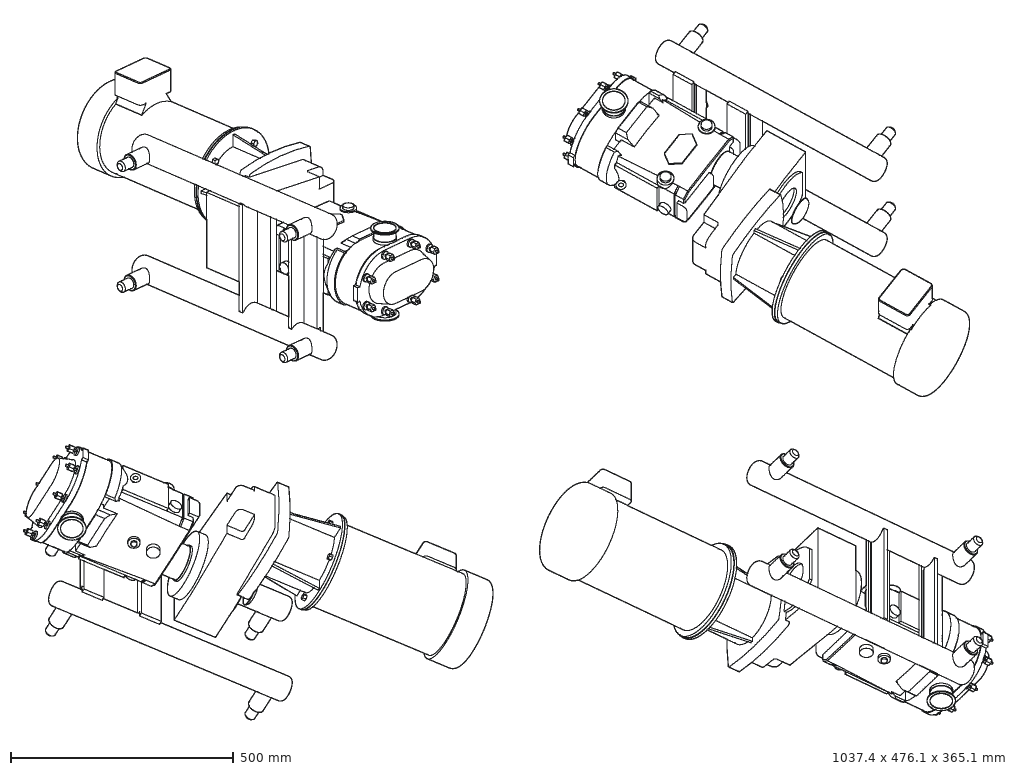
import cadquery as cq
import math

TOTAL_LENGTH = 1037.39
MOTOR_AXIS_Y = 146.5
PUMP_AXIS_Y = 41.9
LOBE_OFFSET = PUMP_AXIS_Y
FOOT_LEVEL_Y = -67.0

FAN_COVER_RADIUS = 108.5
FAN_COVER_LENGTH = 69.0
FAN_COVER_FILLET = 13.0
MOTOR_RADIUS = 199.54 / 2
MOTOR_FLANGE_RADIUS = 114.0
MOTOR_FLANGE_START = 378.0
MOTOR_END = 385.0
TERMINAL_BOX_START = 66.0
TERMINAL_BOX_LENGTH = 84.0
TERMINAL_BOX_WIDTH = 104.0
TERMINAL_BOX_BOTTOM = 113.0
TERMINAL_BOX_TOP = 170.0
TERMINAL_BOX_FILLET = 8.0
TERMINAL_NECK_TOP_WIDTH = 66.0
TERMINAL_NECK_BASE_WIDTH = 96.0
TERMINAL_NECK_BASE_Z = 88.0

ADAPTER_FLANGE_RADIUS = 116.08
ADAPTER_FLANGE_END = 391.5
ADAPTER_RADIUS = 77.0
GUSSET_TALL_RADIUS = 107.0
GUSSET_LOW_RADIUS = 87.5
GUSSET_THICKNESS = 6.0
ADAPTER_BOLT_CIRCLE_RADIUS = 89.5
ADAPTER_BOLT_DIAMETER = 14.28
ADAPTER_BOLT_LENGTH = 8.0
MOUNT_PLATE_START = 514.5
MOUNT_PLATE_END = 543.0
MOUNT_PLATE_TOP_CORNER = 91.0
MOUNT_PLATE_TOP_BULGE = 97.5
MOUNT_PLATE_BOTTOM_CORNER = 106.0
MOUNT_PLATE_BOTTOM_BULGE = 118.0
MOUNT_PLATE_CORNER_Z = 97.5
MOUNT_PLATE_BULGE_Z = 107.5
GEARBOX_START = 531.5
GEARBOX_END = 636.5
GEARBOX_HEIGHT = 190.5
GEARBOX_BOTTOM_Y = -88.0
GEARBOX_TOP_Y = 225.5
GEARBOX_TOP_HALF_HEIGHT = 71.0
GEARBOX_TOP_FILLET = 14.0
GEARBOX_EDGE_FILLET = 18.0
LIFT_POCKET_START = 595.0
LIFT_POCKET_BOTTOM_Y = 170.0
LIFT_POCKET_HALF_SPACING = 46.0
REAR_COVER_DIAMETER = 158.22
REAR_COVER_START = 525.0
REAR_COVER_FLAT_Y = -64.5
REAR_BORE_DIAMETER = 80.0
FRONT_BEARING_DIAMETER = 158.24
FRONT_BEARING_END = 658.5
COUPLING_DIAMETER = 82.55
COUPLING_END = 706.5
COUPLING_CHAMFER = 2.0
SHAFT_COLLAR_DIAMETER = 87.0
SHAFT_COLLAR_END = 663.0

CAP_START = 482.5
CAP_LENGTH = 8.5
CAP_FACE_RADIUS = 21.5
CAP_RADIUS = 65.0 / 2
CAP_RIM_LENGTH = 1.5

FOOT_PLATE_START = 695.0
FOOT_PLATE_END = 722.0
FOOT_PLATE_HALF_HEIGHT = 30.0
FOOT_PLATE_FILLET = 10.0
CASE_START = COUPLING_END
CASE_FLANGE_END = 731.0
CASE_END = 910.0
CASE_HALF_WIDTH = 101.0
CASE_ROOF_END_HALF_WIDTH = 92.0
CASE_FLANGE_HALF_WIDTH = 101.5
CASE_ROOF_HALF_WIDTH = 84.0
CASE_HALF_HEIGHT = 58.0
CASE_RIDGE_Z = 59.5
CASE_SHOULDER_Z = 46.0
CASE_FLANGE_CHAMFER = 2.5
CASE_GROOVE_LENGTH = 4.0
CASE_GROOVE_DEPTH = 3.0
SIDE_COVER_START = 775.0
SIDE_COVER_END = 890.0
SIDE_COVER_HEIGHT = 2 * CASE_SHOULDER_Z
SIDE_PLUG_X = 757.0
SIDE_PLUG_Z = -24.5
SIDE_PLUG_DIAMETER = 28.0
SIDE_PLUG_REACH = 112.5
ROOF_PLUG_X = 768.7
ROOF_PLUG_DIAMETER = 38.1
ROOF_PLUG_BASE_TOP = 61.0
ROOF_PLUG_HEAD_DIAMETER = 25.4
ROOF_PLUG_TOP = 67.5
BOTTOM_PLUG_X = 757.0
BOTTOM_PLUG_DIAMETER = 31.0
BOTTOM_PLUG_REACH = 71.0
DRAIN_X = 806.0
DRAIN_PAD_DIAMETER = 28.0
DRAIN_PAD_REACH = 66.0
DRAIN_DIAMETER = 14.28
DRAIN_REACH = 70.0
NAMEPLATE_X = 783.5
NAMEPLATE_WIDTH = 48.0
NAMEPLATE_LENGTH = 96.0
NAMEPLATE_STRAIGHT = 60.0
NAMEPLATE_TOP = 63.0
EYE_X = 864.5
EYE_Y = 162.5
EYE_RING_RADIUS = 8.5
EYE_WIRE_RADIUS = 3.0

POST_HALF_WIDTH = 51.0
POST_TOP_Z = 83.0
POST_BOTTOM_Z = 46.0
POST_SLOPE_START = 874.0
POST_CHAMFER = 9.0
POST_FLAT_START = 902.0
SIDE_POST_INNER = 85.0
SIDE_POST_RADIUS = 82.5
SIDE_POST_CONE_START = 866.0
SIDE_POST_HALF_HEIGHT = 66.0

HEAD_START = 925.0
HEAD_RADIUS = 79.1
FLANGE_START = 988.0
FLANGE_END = 1002.0
FLANGE_RADIUS = 81.5
EAR_REACH = 128.5
EAR_WIDTH = 37.0
COVER_RADIUS = 50.0
COVER_SLOPE_DEPTH = 10.0
STUD_CIRCLE_RADIUS = 70.0
STUD_ANGLES = (-90, -30, 30, 90)
STUD_DIAMETER = 5.08
WASHER_DIAMETER = 19.05
WASHER_END = 1006.0
NUT_START = 1013.0
NUT_END = 1025.0
NUT_TIP_END = 1032.0
NUT_DIAMETER = 17.0
NUT_TIP_DIAMETER = 5.08
PORT_X = 963.5
PORT_DIAMETER = 50.8
PORT_COLLAR_DIAMETER = 53.19
PORT_COLLAR_TOP = 86.0
PORT_FLANGE_DIAMETER = 64.01
PORT_FLANGE_THICKNESS = 2.8
PORT_FLANGE_TAPER = 2.5
PORT_REACH = 110.0
PORT_RECESS_DIAMETER = 50.8
PORT_RECESS_DEPTH = 1.5

TUBE_DIAMETER = 60.325
TUBE_SPACING = 304.8
TUBE_Y = -106.4
TUBE_START = 338.0
TUBE_LENGTH = 596.9
TUBE_END_FILLET = 12.0
LEG_POSITIONS = (381.5, 888.0)
LEG_DIAMETER = 38.1
LEG_END_Y = -181.5
LEG_CHAMFER = 1.5
FOOT_DIAMETER = 25.4
FOOT_END_Y = -213.5
FOOT_CHAMFER = 4.5
TUBE_TOP_Y = TUBE_Y + TUBE_DIAMETER / 2
BEAM_PLATE_BOTTOM_Y = -87.0
BEAM_WIDTH = 50.8
BEAM_PLATE_SETBACK = 5.0
BEAM_WEB_THICKNESS = 9.525
FRONT_BEAM = dict(start=825.0, web_bottom=-127.0, half_length=130.0)
REAR_BEAM = dict(start=679.5, web_bottom=-136.0, half_length=136.0)


def box(x, y, z):
    """Box between the given (low, high) limits along X, Y and Z."""
    lengths = [limits[1] - limits[0] for limits in (x, y, z)]
    return cq.Workplane("XY").box(*lengths, centered=False).translate((x[0], y[0], z[0]))


def cylinder_x(start, end, diameter, y=0.0, z=0.0):
    """Cylinder along X."""
    return cq.Workplane("YZ", origin=(start, y, z)).circle(diameter / 2).extrude(end - start)


def cylinder_z(x, y, diameter, base_z, tip_z):
    """Cylinder along Z from its base to its tip, which may be above or below the base."""
    return cq.Workplane("XY", origin=(x, y, base_z)).circle(diameter / 2).extrude(tip_z - base_z)


def lobes_x(start, end, radius, taper=0.0):
    """Two-lobed prism along X, one round lobe around each pump shaft."""
    outline = cq.Workplane("YZ", origin=(start, PUMP_AXIS_Y, 0))
    return outline.slot2D(2 * (LOBE_OFFSET + radius), 2 * radius).extrude(end - start, taper=taper)


def mirrored_in_y(shape):
    """Mirror image across the pump's middle plane."""
    return shape.mirror("XZ", (0, PUMP_AXIS_Y, 0))


def make_motor():
    fan_cover = cylinder_x(0, FAN_COVER_LENGTH, 2 * FAN_COVER_RADIUS, MOTOR_AXIS_Y)
    fan_cover = fan_cover.faces("<X").edges().fillet(FAN_COVER_FILLET)
    barrel = cylinder_x(FAN_COVER_LENGTH, MOTOR_END, 2 * MOTOR_RADIUS, MOTOR_AXIS_Y)
    flange = cylinder_x(MOTOR_FLANGE_START, MOTOR_END, 2 * MOTOR_FLANGE_RADIUS, MOTOR_AXIS_Y)
    return fan_cover.union(barrel).union(flange).union(make_terminal_box())


def make_terminal_box():
    half_width = TERMINAL_BOX_WIDTH / 2
    lid_chamfer = 2.0
    x_limits = (TERMINAL_BOX_START, TERMINAL_BOX_START + TERMINAL_BOX_LENGTH)
    y_limits = (MOTOR_AXIS_Y - half_width, MOTOR_AXIS_Y + half_width)
    housing = box(x_limits, y_limits, (TERMINAL_BOX_BOTTOM, TERMINAL_BOX_TOP))
    housing = housing.edges("|Z").fillet(TERMINAL_BOX_FILLET).faces(">Z").edges().chamfer(lid_chamfer)
    top_half = TERMINAL_NECK_TOP_WIDTH / 2
    base_half = TERMINAL_NECK_BASE_WIDTH / 2
    neck = (
        cq.Workplane("YZ", origin=(TERMINAL_BOX_START, MOTOR_AXIS_Y, 0))
        .moveTo(-top_half, TERMINAL_BOX_BOTTOM)
        .lineTo(top_half, TERMINAL_BOX_BOTTOM)
        .lineTo(base_half, TERMINAL_NECK_BASE_Z)
        .lineTo(-base_half, TERMINAL_NECK_BASE_Z)
        .close()
        .extrude(TERMINAL_BOX_LENGTH)
    )
    return housing.union(neck)


def make_adapter():
    flange = cylinder_x(MOTOR_END, ADAPTER_FLANGE_END, 2 * ADAPTER_FLANGE_RADIUS, MOTOR_AXIS_Y)
    adapter = flange.union(cylinder_x(MOTOR_END, MOUNT_PLATE_START, 2 * ADAPTER_RADIUS, MOTOR_AXIS_Y))
    blade = (
        cq.Workplane("XZ", origin=(0, MOTOR_AXIS_Y, 0))
        .moveTo(ADAPTER_FLANGE_END, -GUSSET_TALL_RADIUS)
        .lineTo(MOUNT_PLATE_START, -GUSSET_LOW_RADIUS)
        .lineTo(MOUNT_PLATE_START, GUSSET_LOW_RADIUS)
        .lineTo(ADAPTER_FLANGE_END, GUSSET_TALL_RADIUS)
        .close()
        .extrude(GUSSET_THICKNESS / 2, both=True)
    )
    axis_start = (0, MOTOR_AXIS_Y, 0)
    axis_end = (1, MOTOR_AXIS_Y, 0)
    adapter = adapter.union(blade).union(blade.rotate(axis_start, axis_end, 90))
    bolt_heads = (
        cq.Workplane("YZ", origin=(ADAPTER_FLANGE_END, MOTOR_AXIS_Y, 0))
        .polarArray(ADAPTER_BOLT_CIRCLE_RADIUS, 45, 360, 4)
        .polygon(6, ADAPTER_BOLT_DIAMETER)
        .extrude(ADAPTER_BOLT_LENGTH)
    )
    return adapter.union(bolt_heads)


def make_mount_plate():
    corner_z = MOUNT_PLATE_CORNER_Z
    top_corner = MOUNT_PLATE_TOP_CORNER
    bottom_corner = -MOUNT_PLATE_BOTTOM_CORNER
    corner_fillet = 6.0
    return (
        cq.Workplane("YZ", origin=(MOUNT_PLATE_START, MOTOR_AXIS_Y, 0))
        .moveTo(top_corner, -corner_z)
        .threePointArc((MOUNT_PLATE_TOP_BULGE, 0), (top_corner, corner_z))
        .threePointArc((0, MOUNT_PLATE_BULGE_Z), (bottom_corner, corner_z))
        .threePointArc((-MOUNT_PLATE_BOTTOM_BULGE, 0), (bottom_corner, -corner_z))
        .threePointArc((0, -MOUNT_PLATE_BULGE_Z), (top_corner, -corner_z))
        .close()
        .extrude(MOUNT_PLATE_END - MOUNT_PLATE_START)
        .edges("|X")
        .fillet(corner_fillet)
    )


def make_gearbox_housing():
    half_height = GEARBOX_HEIGHT / 2
    housing = (
        cq.Workplane("YZ", origin=(GEARBOX_START, 0, 0))
        .moveTo(GEARBOX_BOTTOM_Y, -half_height)
        .lineTo(0, -half_height)
        .lineTo(GEARBOX_TOP_Y, -GEARBOX_TOP_HALF_HEIGHT)
        .lineTo(GEARBOX_TOP_Y, GEARBOX_TOP_HALF_HEIGHT)
        .lineTo(0, half_height)
        .lineTo(GEARBOX_BOTTOM_Y, half_height)
        .close()
        .extrude(GEARBOX_END - GEARBOX_START)
        .edges("|X and >Y")
        .fillet(GEARBOX_EDGE_FILLET)
    )
    side_outline = box(
        (GEARBOX_START, GEARBOX_END), (GEARBOX_BOTTOM_Y, GEARBOX_TOP_Y), (-half_height, half_height)
    )
    housing = housing.intersect(side_outline.edges(">X and >Y").fillet(GEARBOX_TOP_FILLET))
    pocket_fillet = 6.0
    for side in (-1, 1):
        z_limits = sorted((side * LIFT_POCKET_HALF_SPACING, side * half_height))
        pocket = box((LIFT_POCKET_START, GEARBOX_END), (LIFT_POCKET_BOTTOM_Y, GEARBOX_TOP_Y), z_limits)
        housing = housing.cut(pocket.edges("|Z and <X and <Y").fillet(pocket_fillet))
    return housing


def make_reducer():
    rear_cover = cylinder_x(REAR_COVER_START, GEARBOX_START, REAR_COVER_DIAMETER)
    half_height = GEARBOX_HEIGHT / 2
    below_flat = box(
        (REAR_COVER_START, GEARBOX_START), (GEARBOX_BOTTOM_Y, REAR_COVER_FLAT_Y), (-half_height, half_height)
    )
    rear_cover = rear_cover.cut(below_flat)
    bearing = cylinder_x(GEARBOX_END, FRONT_BEARING_END, FRONT_BEARING_DIAMETER)
    coupling = cylinder_x(GEARBOX_END, COUPLING_END, COUPLING_DIAMETER)
    coupling = coupling.faces(">X").edges().chamfer(COUPLING_CHAMFER)
    reducer = make_adapter().union(make_mount_plate()).union(make_gearbox_housing())
    collar = cylinder_x(GEARBOX_END, SHAFT_COLLAR_END, SHAFT_COLLAR_DIAMETER)
    reducer = reducer.union(rear_cover).union(bearing).union(collar).union(coupling)
    return reducer.cut(cylinder_x(REAR_COVER_START, GEARBOX_START, REAR_BORE_DIAMETER))


def make_shaft_cap():
    dome_end = CAP_START + CAP_LENGTH - CAP_RIM_LENGTH
    radius_step = CAP_RADIUS - CAP_FACE_RADIUS
    dome_length = dome_end - CAP_START
    dome_middle = (
        dome_end - dome_length * math.sin(math.pi / 4),
        CAP_FACE_RADIUS + radius_step * math.cos(math.pi / 4),
    )
    return (
        cq.Workplane("XY")
        .moveTo(CAP_START, 0)
        .lineTo(CAP_START, CAP_FACE_RADIUS)
        .threePointArc(dome_middle, (dome_end, CAP_RADIUS))
        .lineTo(CAP_START + CAP_LENGTH, CAP_RADIUS)
        .lineTo(CAP_START + CAP_LENGTH, 0)
        .close()
        .revolve(360, (0, 0, 0), (1, 0, 0))
    )


def case_outline(half_width, roof_half_width):
    """Points of the case section: a shallow roof above and below, with sloping shoulders."""
    right_half = [
        (0, CASE_RIDGE_Z),
        (roof_half_width, CASE_HALF_HEIGHT),
        (half_width, CASE_SHOULDER_Z),
        (half_width, -CASE_SHOULDER_Z),
        (roof_half_width, -CASE_HALF_HEIGHT),
    ]
    left_half = [(-y, -z) for y, z in right_half]
    return right_half + left_half


def case_prism(start, end, half_width, end_roof_half_width=CASE_ROOF_HALF_WIDTH):
    """Case section carried along X, with the roof widening to the given half width."""
    return (
        cq.Workplane("YZ", origin=(start, PUMP_AXIS_Y, 0))
        .polyline(case_outline(half_width, CASE_ROOF_HALF_WIDTH))
        .close()
        .workplane(offset=end - start)
        .polyline(case_outline(half_width, end_roof_half_width))
        .close()
        .loft(ruled=True)
    )


def make_case_shell():
    shell = case_prism(CASE_START, CASE_FLANGE_END, CASE_FLANGE_HALF_WIDTH)
    shell = shell.faces("<X").edges().chamfer(CASE_FLANGE_CHAMFER)
    neck_end = CASE_FLANGE_END + CASE_GROOVE_LENGTH
    shell = shell.union(case_prism(CASE_FLANGE_END, neck_end, CASE_HALF_WIDTH - CASE_GROOVE_DEPTH))
    shell = shell.union(case_prism(neck_end, CASE_END, CASE_HALF_WIDTH, CASE_ROOF_END_HALF_WIDTH))
    foot_reach = PUMP_AXIS_Y - FOOT_LEVEL_Y
    foot_plate = box(
        (FOOT_PLATE_START, FOOT_PLATE_END),
        (PUMP_AXIS_Y - foot_reach, PUMP_AXIS_Y + foot_reach),
        (-FOOT_PLATE_HALF_HEIGHT, FOOT_PLATE_HALF_HEIGHT),
    )
    foot_plate = foot_plate.edges("<X and |Y").fillet(FOOT_PLATE_FILLET)
    side_covers = box(
        (SIDE_COVER_START, SIDE_COVER_END),
        (PUMP_AXIS_Y - foot_reach, PUMP_AXIS_Y + foot_reach),
        (-SIDE_COVER_HEIGHT / 2, SIDE_COVER_HEIGHT / 2),
    )
    shell = shell.union(foot_plate).union(side_covers)
    coupling_radius = COUPLING_DIAMETER / 2
    coupling_gap = box(
        (FOOT_PLATE_START, CASE_START),
        (-coupling_radius, coupling_radius),
        (-FOOT_PLATE_HALF_HEIGHT, FOOT_PLATE_HALF_HEIGHT),
    )
    return shell.cut(coupling_gap)


def make_case_fittings():
    side_plugs = (
        cq.Workplane("XZ", origin=(SIDE_PLUG_X, PUMP_AXIS_Y, SIDE_PLUG_Z))
        .circle(SIDE_PLUG_DIAMETER / 2)
        .extrude(SIDE_PLUG_REACH, both=True)
    )
    fittings = side_plugs.union(make_nameplate()).union(make_lifting_eye())
    for y in (PUMP_AXIS_Y - CASE_ROOF_HALF_WIDTH, PUMP_AXIS_Y + CASE_ROOF_HALF_WIDTH):
        base = cylinder_z(ROOF_PLUG_X, y, ROOF_PLUG_DIAMETER, CASE_SHOULDER_Z, ROOF_PLUG_BASE_TOP)
        head = cylinder_z(ROOF_PLUG_X, y, ROOF_PLUG_HEAD_DIAMETER, CASE_SHOULDER_Z, ROOF_PLUG_TOP)
        fittings = fittings.union(base).union(head)
    bottom_bosses = [
        (BOTTOM_PLUG_X, BOTTOM_PLUG_DIAMETER, BOTTOM_PLUG_REACH),
        (DRAIN_X, DRAIN_PAD_DIAMETER, DRAIN_PAD_REACH),
        (DRAIN_X, DRAIN_DIAMETER, DRAIN_REACH),
    ]
    for x, diameter, reach in bottom_bosses:
        fittings = fittings.union(cylinder_z(x, PUMP_AXIS_Y, diameter, -CASE_SHOULDER_Z, -reach))
    return fittings


def make_nameplate():
    """Raised six-sided plate on the roof, pointed at both ends."""
    half_width = NAMEPLATE_WIDTH / 2
    half_straight = NAMEPLATE_STRAIGHT / 2
    half_length = NAMEPLATE_LENGTH / 2
    return (
        cq.Workplane("XY", origin=(NAMEPLATE_X, PUMP_AXIS_Y, 0))
        .moveTo(half_width, -half_straight)
        .lineTo(half_width, half_straight)
        .lineTo(0, half_length)
        .lineTo(-half_width, half_straight)
        .lineTo(-half_width, -half_straight)
        .lineTo(0, -half_length)
        .close()
        .extrude(NAMEPLATE_TOP)
    )


def make_lifting_eye():
    """Ring with a shank into the +Y side of the gear case."""
    ring = cq.Workplane(cq.Solid.makeTorus(EYE_RING_RADIUS, EYE_WIRE_RADIUS)).translate((EYE_X, EYE_Y, 0))
    shank = (
        cq.Workplane("XZ", origin=(EYE_X, PUMP_AXIS_Y, 0))
        .circle(EYE_WIRE_RADIUS)
        .extrude(-(EYE_Y - EYE_RING_RADIUS - PUMP_AXIS_Y))
    )
    return ring.union(shank)


def make_level_posts():
    """Posts above and below the pump shafts."""
    upper = (
        cq.Workplane("XZ", origin=(0, PUMP_AXIS_Y, 0))
        .moveTo(POST_SLOPE_START, POST_BOTTOM_Z)
        .lineTo(POST_SLOPE_START, CASE_HALF_HEIGHT)
        .lineTo(POST_FLAT_START, POST_TOP_Z)
        .lineTo(HEAD_START, POST_TOP_Z)
        .lineTo(HEAD_START, POST_BOTTOM_Z)
        .close()
        .extrude(POST_HALF_WIDTH, both=True)
        .edges(">Z and |X")
        .chamfer(POST_CHAMFER)
    )
    return upper.union(upper.mirror("XY"))


def make_side_post():
    """Round post beyond the +Y shaft, coned towards the gear case."""
    shaft_y = PUMP_AXIS_Y + LOBE_OFFSET
    case_radius = CASE_HALF_WIDTH - LOBE_OFFSET
    turned = (
        cq.Workplane("XY", origin=(0, shaft_y, 0))
        .moveTo(SIDE_POST_CONE_START, 0)
        .lineTo(SIDE_POST_CONE_START, case_radius)
        .lineTo(POST_FLAT_START, SIDE_POST_RADIUS)
        .lineTo(HEAD_START, SIDE_POST_RADIUS)
        .lineTo(HEAD_START, 0)
        .close()
        .revolve(360, (0, 0, 0), (1, 0, 0))
    )
    outside = box(
        (SIDE_POST_CONE_START, HEAD_START),
        (PUMP_AXIS_Y + SIDE_POST_INNER, shaft_y + SIDE_POST_RADIUS),
        (-SIDE_POST_HALF_HEIGHT, SIDE_POST_HALF_HEIGHT),
    )
    return turned.intersect(outside)


def make_gear_case():
    side_post = make_side_post()
    case = make_case_shell().union(make_case_fittings()).union(make_level_posts())
    return case.union(side_post).union(mirrored_in_y(side_post))


def make_port():
    """Upper port: a tube with a clamp flange, turned around its vertical axis."""
    tube_radius = PORT_DIAMETER / 2
    collar_radius = PORT_COLLAR_DIAMETER / 2
    flange_radius = PORT_FLANGE_DIAMETER / 2
    flange_bottom = PORT_REACH - PORT_FLANGE_THICKNESS
    return (
        cq.Workplane("XZ", origin=(PORT_X, PUMP_AXIS_Y, 0))
        .lineTo(collar_radius, 0)
        .lineTo(collar_radius, PORT_COLLAR_TOP)
        .lineTo(tube_radius, PORT_COLLAR_TOP)
        .lineTo(tube_radius, flange_bottom - PORT_FLANGE_TAPER)
        .lineTo(flange_radius, flange_bottom)
        .lineTo(flange_radius, PORT_REACH)
        .lineTo(PORT_RECESS_DIAMETER / 2, PORT_REACH)
        .lineTo(PORT_RECESS_DIAMETER / 2, PORT_REACH - PORT_RECESS_DEPTH)
        .lineTo(0, PORT_REACH - PORT_RECESS_DEPTH)
        .close()
        .revolve(360, (0, 0, 0), (0, 1, 0))
    )


def make_stud(y, z):
    """Cover stud with its washer and cap nut."""
    stud = cylinder_x(FLANGE_END, NUT_END, STUD_DIAMETER, y, z)
    stud = stud.union(cylinder_x(FLANGE_END, WASHER_END, WASHER_DIAMETER, y, z))
    nut = cq.Workplane("YZ", origin=(NUT_START, y, z)).polygon(6, NUT_DIAMETER).extrude(NUT_END - NUT_START)
    return stud.union(nut).union(cylinder_x(NUT_END, NUT_TIP_END, NUT_TIP_DIAMETER, y, z))


def make_pump_head():
    head = lobes_x(HEAD_START, FLANGE_START, HEAD_RADIUS)
    head = head.union(lobes_x(FLANGE_START, FLANGE_END, FLANGE_RADIUS))
    ears = box(
        (FLANGE_START, FLANGE_END),
        (PUMP_AXIS_Y - EAR_REACH, PUMP_AXIS_Y + EAR_REACH),
        (-EAR_WIDTH / 2, EAR_WIDTH / 2),
    )
    cover_depth = TOTAL_LENGTH - FLANGE_END
    cover_taper = math.degrees(math.atan(COVER_SLOPE_DEPTH / cover_depth))
    cover = lobes_x(FLANGE_END, TOTAL_LENGTH, COVER_RADIUS, cover_taper)
    port = make_port()
    head = head.union(ears).union(cover).union(port).union(port.mirror("XY"))
    for side in (-1, 1):
        for angle in STUD_ANGLES:
            stud_y = LOBE_OFFSET + STUD_CIRCLE_RADIUS * math.cos(math.radians(angle))
            stud_z = STUD_CIRCLE_RADIUS * math.sin(math.radians(angle))
            head = head.union(make_stud(PUMP_AXIS_Y + side * stud_y, stud_z))
    return head


def make_leg(x, z):
    """Leg below a tube, with the narrower foot at its end."""
    leg = cq.Workplane("XZ", origin=(x, TUBE_Y, z)).circle(LEG_DIAMETER / 2).extrude(TUBE_Y - LEG_END_Y)
    leg = leg.faces("<Y").edges().chamfer(LEG_CHAMFER)
    foot = cq.Workplane("XZ", origin=(x, LEG_END_Y, z)).circle(FOOT_DIAMETER / 2)
    foot = foot.extrude(LEG_END_Y - FOOT_END_Y).faces("<Y").edges().chamfer(FOOT_CHAMFER)
    return leg.union(foot)


def make_beam(start, web_bottom, half_length):
    """Cross beam: a pad resting on both tubes, a plate between them and an upright web."""
    end = start + BEAM_WIDTH
    z_limits = (-half_length, half_length)
    pad = box((start, end), (TUBE_TOP_Y, FOOT_LEVEL_Y), (-TUBE_SPACING / 2, TUBE_SPACING / 2))
    plate = box((start + BEAM_PLATE_SETBACK, end), (BEAM_PLATE_BOTTOM_Y, TUBE_TOP_Y), z_limits)
    web = box((start, start + BEAM_WEB_THICKNESS), (web_bottom, BEAM_PLATE_BOTTOM_Y), z_limits)
    return pad.union(plate).union(web)


def make_frame():
    frame = make_beam(**REAR_BEAM).union(make_beam(**FRONT_BEAM))
    for z in (-TUBE_SPACING / 2, TUBE_SPACING / 2):
        tube = cylinder_x(TUBE_START, TUBE_START + TUBE_LENGTH, TUBE_DIAMETER, TUBE_Y, z)
        frame = frame.union(tube.faces("<X or >X").edges().fillet(TUBE_END_FILLET))
        for x in LEG_POSITIONS:
            frame = frame.union(make_leg(x, z))
    return frame


motor = make_motor()
reducer = make_reducer()
shaft_cap = make_shaft_cap()
gear_case = make_gear_case()
pump_head = make_pump_head()
frame = make_frame()

bodies = [motor, reducer, shaft_cap, gear_case, pump_head, frame]
result = cq.Compound.makeCompound([body.solids().val() for body in bodies])